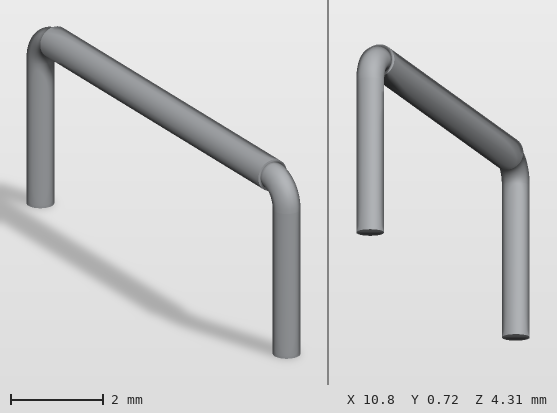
import cadquery as cq

overall_length = 10.76
overall_height = 4.31
wire_diameter = 0.6
sleeve_diameter = 0.72
sleeve_length = 9.0

leg_x = (overall_length - wire_diameter) / 2
span_z = overall_height - sleeve_diameter / 2
sleeve_end_x = sleeve_length / 2
bend_radius = leg_x - sleeve_end_x
leg_height = span_z - bend_radius


def make_wire():
    """Round wire bent into a staple: two legs, two bends and a straight span."""
    centre_line = (
        cq.Workplane("XZ")
        .moveTo(-leg_x, 0)
        .lineTo(-leg_x, leg_height)
        .tangentArcPoint((-sleeve_end_x, span_z), relative=False)
        .lineTo(sleeve_end_x, span_z)
        .tangentArcPoint((leg_x, leg_height), relative=False)
        .lineTo(leg_x, 0)
    )
    return cq.Workplane("XY").center(-leg_x, 0).circle(wire_diameter / 2).sweep(centre_line)


def make_sleeve():
    """Insulating tube fitted closely around the straight span of the wire."""
    return (
        cq.Workplane("YZ", origin=(-sleeve_end_x, 0, span_z))
        .circle(sleeve_diameter / 2)
        .circle(wire_diameter / 2)
        .extrude(sleeve_length)
    )


wire = make_wire()
sleeve = make_sleeve()
result = cq.Compound.makeCompound([wire.val(), sleeve.val()])